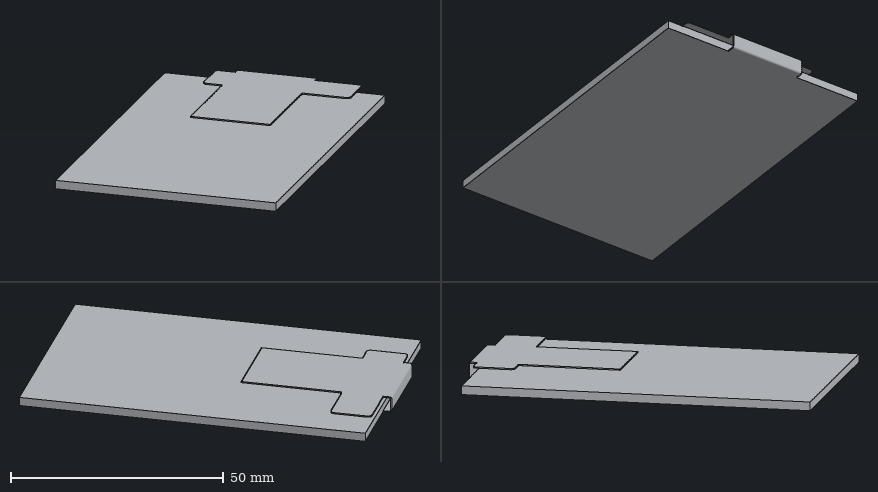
import cadquery as cq

plate_width = 54.56
plate_length = 84.05
plate_thickness = 2.15

overall_length = 86.17
overall_height = 4.05
strap_thickness = 0.3
bend_inner_radius = 0.3
bend_outer_radius = bend_inner_radius + strap_thickness
strap_left = 17.5
strap_width = 19.7
strap_right = strap_left + strap_width
strap_length = 36.6
strap_front = overall_length - strap_length
strap_underside = overall_height - strap_thickness

wing_left = 12.6
wing_right = 49.0
wing_depth = 10.0
wing_front = plate_length - wing_depth
wing_corner_radius = 1.0
inside_corner_radius = 0.5


def make_plate():
    return cq.Workplane("XY").box(plate_width, plate_length, plate_thickness, centered=False)


def make_folded_strap():
    """C-shaped YZ profile of constant thickness with two rounded bends, extruded along X."""
    bend_start = overall_length - bend_outer_radius
    return (
        cq.Workplane("YZ", origin=(strap_left, 0, 0))
        .moveTo(plate_length, 0)
        .lineTo(bend_start, 0)
        .tangentArcPoint((bend_outer_radius, bend_outer_radius))
        .lineTo(overall_length, overall_height - bend_outer_radius)
        .tangentArcPoint((-bend_outer_radius, bend_outer_radius))
        .lineTo(strap_front, overall_height)
        .lineTo(strap_front, strap_underside)
        .lineTo(bend_start, strap_underside)
        .tangentArcPoint((bend_inner_radius, -bend_inner_radius))
        .lineTo(overall_length - strap_thickness, bend_outer_radius)
        .tangentArcPoint((-bend_inner_radius, -bend_inner_radius))
        .lineTo(plate_length, strap_thickness)
        .close()
        .extrude(strap_width)
    )


def make_wings():
    """Flat cross piece with rounded corners, level with the upper run of the strap."""
    return (
        cq.Workplane("XY", origin=(wing_left, wing_front, strap_underside))
        .box(wing_right - wing_left, wing_depth, strap_thickness, centered=False)
        .edges("|Z")
        .fillet(wing_corner_radius)
    )


def round_inside_corners(body):
    """Round the two inside corners where the wings meet the front run of the strap."""
    mid_height = overall_height - strap_thickness / 2
    for corner_x in (strap_left, strap_right):
        corner = cq.selectors.NearestToPointSelector((corner_x, wing_front, mid_height))
        body = body.edges("|Z").edges(corner).fillet(inside_corner_radius)
    return body


strap = round_inside_corners(make_folded_strap().union(make_wings()))
result = make_plate().union(strap)